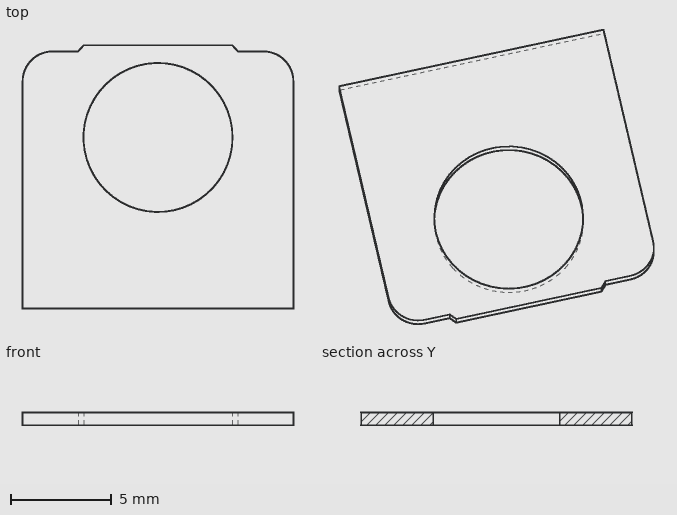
import cadquery as cq

width = 13.46
length = 13.08
thickness = 0.64

tab_height = 0.3
tab_top_width = 7.39
tab_end_run = 0.27

corner_radius = 1.5

hole_diameter = 7.39
hole_to_tab_top = 4.58

tab_top_y = length / 2
bottom_y = -length / 2
shoulder_y = tab_top_y - tab_height
hole_y = tab_top_y - hole_to_tab_top


def make_body():
    """Rectangular plate with its two +Y corners rounded."""
    body_length = shoulder_y - bottom_y
    return (
        cq.Workplane("XY")
        .center(0, (shoulder_y + bottom_y) / 2)
        .rect(width, body_length)
        .extrude(thickness)
        .edges("|Z and >Y")
        .fillet(corner_radius)
    )


def make_tab():
    """Trapezoidal tab standing on the +Y edge."""
    top_x = tab_top_width / 2
    base_x = top_x + tab_end_run
    return (
        cq.Workplane("XY")
        .moveTo(-base_x, shoulder_y)
        .lineTo(base_x, shoulder_y)
        .lineTo(top_x, tab_top_y)
        .lineTo(-top_x, tab_top_y)
        .close()
        .extrude(thickness)
    )


def make_hole():
    """Cylinder that cuts the round opening."""
    return cq.Workplane("XY").center(0, hole_y).circle(hole_diameter / 2).extrude(thickness)


result = make_body().union(make_tab()).cut(make_hole())